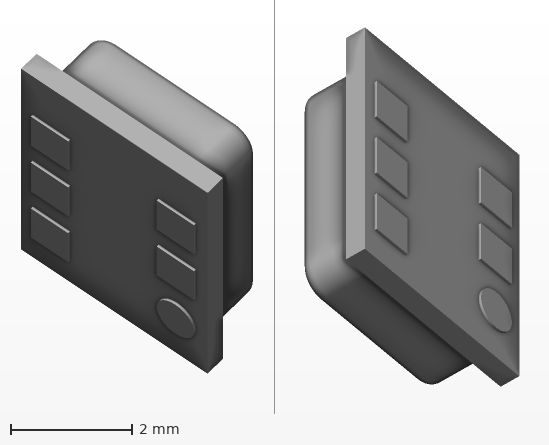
import cadquery as cq

board_width = 4.0
board_height = 5.0
board_thickness = 0.4

cap_margin = 0.25
cap_depth = 1.2
cap_corner_radius = 0.5
cap_edge_radius = 0.2

pad_size = 0.8
pad_thickness = 0.05
pad_column_offset = board_width / 2 - cap_margin - pad_size / 2
pad_pitch = 1.27
pad_bottom_row = -1.5
pad_row_count = 3

pad_rows = [pad_bottom_row + row * pad_pitch for row in range(pad_row_count)]
square_pad_centers = [(-pad_column_offset, z) for z in pad_rows]
square_pad_centers += [(pad_column_offset, z) for z in pad_rows[1:]]
round_pad_center = (pad_column_offset, pad_rows[0])


def front_plane():
    """Workplane on the board's front face, with its normal along -Y."""
    return cq.Workplane("XZ")


def make_board():
    return front_plane().rect(board_width, board_height).extrude(-board_thickness)


def make_cap():
    width = board_width - 2 * cap_margin
    height = board_height - 2 * cap_margin
    cap = front_plane().workplane(offset=-board_thickness).rect(width, height).extrude(-cap_depth)
    return cap.edges("|Y").fillet(cap_corner_radius).faces(">Y").edges().fillet(cap_edge_radius)


def make_square_pads():
    return front_plane().pushPoints(square_pad_centers).rect(pad_size, pad_size).extrude(pad_thickness)


def make_round_pad():
    return front_plane().center(*round_pad_center).circle(pad_size / 2).extrude(pad_thickness)


result = make_board().union(make_cap()).union(make_square_pads()).union(make_round_pad())